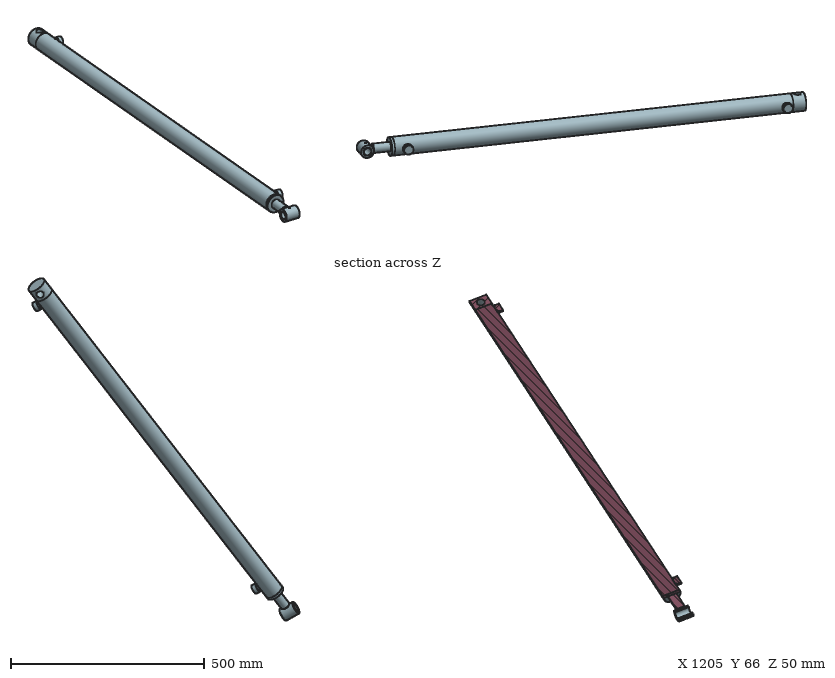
import cadquery as cq

TOTAL_LENGTH = 1205.0

BARREL_DIAMETER = 50.0
BARREL_RADIUS = BARREL_DIAMETER / 2
CAP_LENGTH = 35.0
GLAND_FACE_X = 1122.0
GLAND_LENGTH = 7.0
BARREL_END_X = GLAND_FACE_X - GLAND_LENGTH
CAP_PIN_HOLE_DIAMETER = 19.0
CAP_PIN_HOLE_X = CAP_LENGTH / 2

EYE_DIAMETER = 35.0
EYE_WIDTH = 40.0
EYE_X = TOTAL_LENGTH - EYE_DIAMETER / 2
BUSHING_DIAMETER = 23.0
BUSHING_BORE = 19.0
GREASE_HOLE_DIAMETER = 4.0

ROD_DIAMETER = 25.0
ROD_CHAMFER = 2.0
ROD_END_X = TOTAL_LENGTH - EYE_DIAMETER

PORT_POSITIONS = (54.0, 1082.0)
PORT_HEAD_DIAMETER = 25.0
PORT_FOOT_DIAMETER = 20.0
PORT_HEIGHT = 16.0
PORT_HEAD_HEIGHT = 12.0
PORT_TOP_Y = BARREL_RADIUS + PORT_HEIGHT
PORT_SHOULDER_Y = PORT_TOP_Y - PORT_HEAD_HEIGHT


def x_cylinder(diameter, start, end):
    """Cylinder on the X axis between two X positions."""
    return cq.Workplane("YZ", origin=(start, 0, 0)).circle(diameter / 2).extrude(end - start)


def y_cylinder(diameter, x, start, end):
    """Cylinder parallel to Y at the given X, between two Y positions."""
    return cq.Workplane("XZ", origin=(x, start, 0)).circle(diameter / 2).extrude(start - end)


def z_cylinder(diameter, x, start, end):
    """Cylinder parallel to Z at the given X, between two Z positions."""
    return cq.Workplane("XY", origin=(x, 0, start)).circle(diameter / 2).extrude(end - start)


def across_eye(diameter):
    """Cylinder on the eye's axis, as long as the eye is wide."""
    return y_cylinder(diameter, EYE_X, -EYE_WIDTH / 2, EYE_WIDTH / 2)


def make_base_cap():
    """Round end block with a pin hole straight through along Z."""
    cap = x_cylinder(BARREL_DIAMETER, 0, CAP_LENGTH)
    pin_hole = z_cylinder(CAP_PIN_HOLE_DIAMETER, CAP_PIN_HOLE_X, -BARREL_RADIUS, BARREL_RADIUS)
    return cap.cut(pin_hole)


def make_barrel():
    return x_cylinder(BARREL_DIAMETER, CAP_LENGTH, BARREL_END_X)


def make_gland():
    return x_cylinder(BARREL_DIAMETER, BARREL_END_X, GLAND_FACE_X)


def make_rod():
    """Rod with a chamfered end that meets the eye."""
    rod = x_cylinder(ROD_DIAMETER, GLAND_FACE_X, ROD_END_X)
    return rod.faces(">X").chamfer(ROD_CHAMFER)


def make_eye():
    """Ring across Y with a grease hole from its top down to the bushing."""
    grease_hole = z_cylinder(GREASE_HOLE_DIAMETER, EYE_X, 0, EYE_DIAMETER / 2)
    return across_eye(EYE_DIAMETER).cut(across_eye(BUSHING_DIAMETER)).cut(grease_hole)


def make_bushing():
    return across_eye(BUSHING_DIAMETER).cut(across_eye(BUSHING_BORE))


def make_port(x, barrel):
    """Stepped round port whose foot is shaped to the barrel surface."""
    foot = y_cylinder(PORT_FOOT_DIAMETER, x, 0, PORT_SHOULDER_Y)
    head = y_cylinder(PORT_HEAD_DIAMETER, x, PORT_SHOULDER_Y, PORT_TOP_Y)
    return foot.union(head).cut(barrel)


base_cap = make_base_cap()
barrel = make_barrel()
gland = make_gland()
rod = make_rod()
eye = make_eye()
bushing = make_bushing()
ports = [make_port(x, barrel) for x in PORT_POSITIONS]

result = cq.Compound.makeCompound(
    [
        base_cap.val(),
        barrel.val(),
        gland.val(),
        rod.val(),
        eye.val(),
        bushing.val(),
        *[port.val() for port in ports],
    ]
)